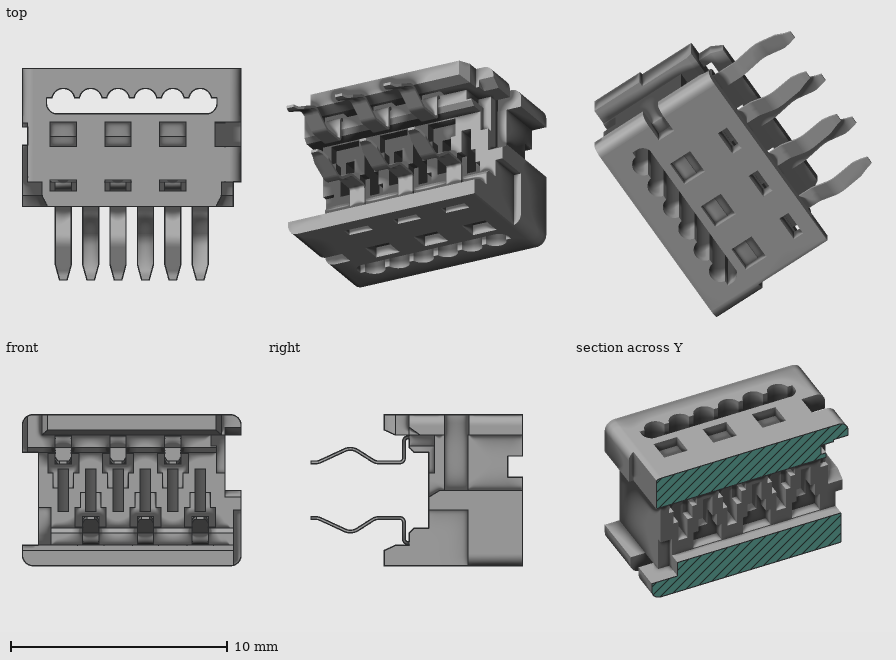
import cadquery as cq
import math


width = 10.13
height = 7.0
total_depth = 9.8
half_width = width / 2
half_height = height / 2
edge_radius = 0.51

core_front = -4.35
step_front = -5.25
plate_front = -6.4
recess_front = -4.07

core_half_width = 4.32
plate_inner_z = 2.54
step_z = 1.75
step_chamfer = 0.22
flange_left_x = -4.82
flange_right_x = 4.7
side_relief_y = -2.52

plate_bevel_depth = 0.53
plate_bevel_height = 0.24

tongue_half_width = 4.16
tongue_corner_x = 0.27

block_top = -0.01
block_relief_top = -0.91
guide_bevel_depth = 0.52
block_bevel_height = 0.31
flange_bevel_height = 0.36

recess_end_z = 0.79
left_recess_x = -3.74
right_recess_x = 3.93
relief_x = 3.67
relief_z = 2.05

rear_notch_depth = 0.68
rear_notch_bottom = 0.61
rear_notch_top = 1.58

upper_latch_x = 3.85
lower_latch_x = -3.75
upper_latch_back = -2.49
upper_latch_front = -3.62
lower_latch_back = -2.72
lower_latch_front = -3.56

pitch = 1.27
contact_count = 6
first_contact_x = -pitch * (contact_count - 1) / 2
contact_xs = [first_contact_x + i * pitch for i in range(contact_count)]
upper_contact_xs = contact_xs[::2]

cable_half_width = 3.94
cable_back = -1.37
cable_front = -2.1
cable_corner_start = -1.66
cable_corner_mid = (3.82, -1.93)
cable_front_half_width = 3.55
scallop_radius = 0.53
scallop_center_y = -1.46

cavity_depth = 0.53
cavity_width = 1.44
cavity_top = 1.69
cavity_neck_width = 0.96
cavity_neck_bottom = 0.1
slot_width = 0.49
slot_half_height = 0.98
slot_back = -1.52

opening_width = 1.22
window_back = upper_latch_back
window_step = -3.15
window_front = upper_latch_front
window_depth = 0.51
window_step_depth = 0.61
lead_opening_back = -5.17
lead_opening_front = -5.67

lead_width = 0.75
lead_thickness = 0.13
lead_root_y = -4.86
lead_clearance = 0.03
lead_root_z = plate_inner_z - lead_clearance - lead_thickness / 2
lead_drop_y = -5.49
lead_run_z = 1.29
lead_rise_y = -6.81
lead_peak_y = -7.92
lead_peak_z = 2.0
lead_tip_bend_y = -9.46
lead_corner_radius = 0.19
lead_bend_radius = 0.51
lead_peak_radius = 0.61
lead_taper_y = -9.08
lead_tip_width = 0.35


def block(x0, x1, y0, y1, z0, z1):
    """Box between two corners."""
    return cq.Workplane("XY").box(x1 - x0, y1 - y0, z1 - z0, centered=False).translate((x0, y0, z0))


def side_prism(points, x0, x1):
    """Prism along X with an outline of (y, z) points."""
    return cq.Workplane("YZ").polyline(points).close().extrude(x1 - x0).translate((x0, 0, 0))


def half_turn(shape):
    """Copy of a shape turned half way round the Y axis."""
    return shape.rotate((0, 0, 0), (0, 1, 0), 180)


def make_step(x0, x1):
    """Raised front step under the upper plate, with its inner front edge chamfered."""
    return side_prism(
        [
            (core_front, plate_inner_z),
            (core_front, step_z),
            (step_front + step_chamfer, step_z),
            (step_front, step_z + step_chamfer),
            (step_front, plate_inner_z),
        ],
        x0,
        x1,
    )


def plate_bevel(edge_y, depth, rise):
    """Wedge that bevels the inner front edge of the upper plate."""
    return side_prism(
        [(edge_y, plate_inner_z), (edge_y + depth, plate_inner_z), (edge_y, plate_inner_z + rise)],
        -half_width,
        half_width,
    )


def make_upper_flange():
    """Upper plate behind the tongue, with the skirt and front step below it."""
    plate = block(-half_width, half_width, step_front, 0, plate_inner_z, half_height)
    skirt = block(-half_width, right_recess_x, core_front, 0, step_z, plate_inner_z)
    flange = plate.union(skirt).edges("|Y and >Z").fillet(edge_radius)
    flange = flange.union(make_step(-half_width, right_recess_x))
    flange = flange.cut(block(-half_width, flange_left_x, plate_front, side_relief_y, step_z, half_height))
    right_bevel = plate_bevel(step_front, guide_bevel_depth, flange_bevel_height)
    right_side = block(core_half_width, half_width, step_front, 0, plate_inner_z, half_height)
    return flange.cut(right_bevel.intersect(right_side))


def make_tongue():
    """Front of the upper plate, with its two front corners cut and its lower edge bevelled."""
    bevel_start = plate_front + plate_bevel_depth
    corner_x = tongue_half_width - tongue_corner_x
    tongue = (
        cq.Workplane("XY", origin=(0, 0, plate_inner_z))
        .polyline(
            [
                (-tongue_half_width, step_front),
                (-tongue_half_width, bevel_start),
                (-corner_x, plate_front),
                (corner_x, plate_front),
                (tongue_half_width, bevel_start),
                (tongue_half_width, step_front),
            ]
        )
        .close()
        .extrude(half_height - plate_inner_z)
    )
    return tongue.cut(plate_bevel(plate_front, plate_bevel_depth, plate_bevel_height))


def make_lower_flange():
    """Lower plate with its front step on top."""
    plate = block(-half_width, half_width, plate_front, 0, -half_height, -plate_inner_z)
    plate = plate.edges("|Y and <Z").fillet(edge_radius)
    plate = plate.cut(half_turn(plate_bevel(plate_front, plate_bevel_depth, plate_bevel_height)))
    return plate.union(half_turn(make_step(-flange_right_x, -left_recess_x)))


def make_side_block():
    """Polarising block on the right side, bevelled at its top front edge."""
    return side_prism(
        [
            (0, -plate_inner_z),
            (0, block_top),
            (core_front + guide_bevel_depth, block_top),
            (core_front, block_top - block_bevel_height),
            (core_front, -plate_inner_z),
        ],
        core_half_width,
        half_width,
    )


def make_housing():
    """Plastic body before the contact and cable openings are cut."""
    housing = block(-core_half_width, core_half_width, core_front, 0, -plate_inner_z, plate_inner_z)
    for piece in (make_upper_flange(), make_tongue(), make_lower_flange(), make_side_block()):
        housing = housing.union(piece)
    housing = housing.cut(
        block(flange_right_x, half_width, plate_front, side_relief_y, -half_height, block_relief_top)
    )
    housing = housing.cut(
        block(-core_half_width, left_recess_x, step_front, recess_front, -plate_inner_z, -recess_end_z)
    )
    housing = housing.cut(
        block(right_recess_x, core_half_width, step_front, recess_front, recess_end_z, plate_inner_z)
    )
    housing = housing.cut(
        block(relief_x, right_recess_x, step_front, recess_front, relief_z, plate_inner_z)
    )
    housing = housing.cut(
        block(-half_width, half_width, -rear_notch_depth, 0, rear_notch_bottom, rear_notch_top)
    )
    housing = housing.cut(
        block(upper_latch_x, half_width, upper_latch_front, upper_latch_back, plate_inner_z, half_height)
    )
    housing = housing.cut(
        block(upper_latch_x, half_width, upper_latch_front, side_relief_y, block_top, plate_inner_z)
    )
    return housing.cut(
        block(-half_width, lower_latch_x, lower_latch_front, lower_latch_back, -half_height, -plate_inner_z)
    )


def make_cable_opening():
    """Through opening for the cable, scalloped along its rear side."""
    corner_x, corner_y = cable_corner_mid
    opening = (
        cq.Workplane("XY", origin=(0, 0, -half_height))
        .moveTo(-cable_half_width, cable_back)
        .lineTo(-cable_half_width, cable_corner_start)
        .threePointArc((-corner_x, corner_y), (-cable_front_half_width, cable_front))
        .lineTo(cable_front_half_width, cable_front)
        .threePointArc((corner_x, corner_y), (cable_half_width, cable_corner_start))
        .lineTo(cable_half_width, cable_back)
        .close()
        .extrude(height)
    )
    scallops = (
        cq.Workplane("XY", origin=(0, 0, -half_height))
        .pushPoints([(x, scallop_center_y) for x in contact_xs])
        .circle(scallop_radius)
        .extrude(height)
    )
    return opening.union(scallops)


def make_contact_cutout(x):
    """Stepped front cavity, slot to the cable opening, and plate openings of one upper contact."""

    def cut_block(cut_width, y0, y1, z0, z1):
        return block(x - cut_width / 2, x + cut_width / 2, y0, y1, z0, z1)

    cavity_back = core_front + cavity_depth
    cutout = cut_block(cavity_width, core_front, cavity_back, recess_end_z, cavity_top)
    for piece in (
        cut_block(cavity_neck_width, core_front, cavity_back, cavity_neck_bottom, recess_end_z),
        cut_block(slot_width, core_front, slot_back, -slot_half_height, slot_half_height),
        cut_block(opening_width, window_step, window_back, half_height - window_depth, half_height),
        cut_block(opening_width, window_front, window_step, half_height - window_step_depth, half_height),
        cut_block(opening_width, lead_opening_front, lead_opening_back, plate_inner_z, half_height),
    ):
        cutout = cutout.union(piece)
    return cutout


def bent_path(points, radii):
    """Path in the YZ plane through the points, with each inner corner rounded by its radius."""
    path = cq.Workplane("YZ").moveTo(*points[0])
    for before, corner, after, radius in zip(points, points[1:], points[2:], radii):
        inward = cq.Vector(*before) - cq.Vector(*corner)
        outward = cq.Vector(*after) - cq.Vector(*corner)
        half_angle = inward.getAngle(outward) / 2
        start = cq.Vector(*corner) + inward.normalized() * (radius / math.tan(half_angle))
        end = cq.Vector(*corner) + outward.normalized() * (radius / math.tan(half_angle))
        bisector = (inward.normalized() + outward.normalized()).normalized()
        middle = cq.Vector(*corner) + bisector * (radius / math.sin(half_angle) - radius)
        path = path.lineTo(start.x, start.y)
        path = path.threePointArc((middle.x, middle.y), (end.x, end.y))
    return path.lineTo(*points[-1])


def make_lead():
    """Bent spring lead of an upper contact, centred on X = 0, with a tapered tip."""
    path = bent_path(
        [
            (lead_root_y, lead_root_z),
            (lead_drop_y, lead_root_z),
            (lead_drop_y, lead_run_z),
            (lead_rise_y, lead_run_z),
            (lead_peak_y, lead_peak_z),
            (lead_tip_bend_y, lead_run_z),
            (-total_depth, lead_run_z),
        ],
        [lead_corner_radius, lead_corner_radius, lead_bend_radius, lead_peak_radius, lead_bend_radius],
    )
    strip = (
        cq.Workplane("XZ", origin=(0, lead_root_y, lead_root_z))
        .rect(lead_width, lead_thickness)
        .sweep(path)
    )
    outline = (
        cq.Workplane("XY")
        .polyline(
            [
                (-lead_width / 2, lead_root_y),
                (-lead_width / 2, lead_taper_y),
                (-lead_tip_width / 2, -total_depth),
                (lead_tip_width / 2, -total_depth),
                (lead_width / 2, lead_taper_y),
                (lead_width / 2, lead_root_y),
            ]
        )
        .close()
        .extrude(half_height)
    )
    return strip.intersect(outline)


result = make_housing().cut(make_cable_opening())
lead = make_lead()
for contact_x in upper_contact_xs:
    cutout = make_contact_cutout(contact_x)
    result = result.cut(cutout).cut(half_turn(cutout))
    placed_lead = lead.translate((contact_x, 0, 0))
    result = result.union(placed_lead).union(half_turn(placed_lead))